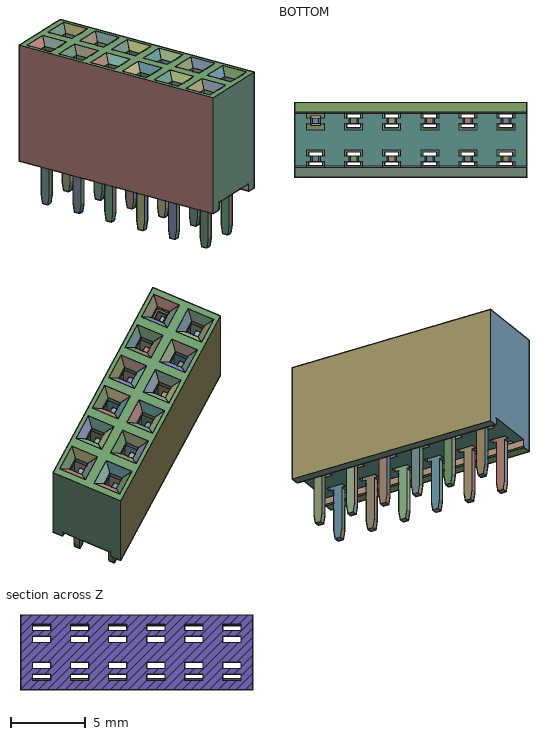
import cadquery as cq

COLUMNS = 6
ROWS = 2
PITCH = 2.54

HOUSING_LENGTH = 15.49
HOUSING_WIDTH = 5.0
HOUSING_HEIGHT = 8.5
RAIL_WIDTH = 0.74
RAIL_HEIGHT = 0.57
RAIL_CHAMFER = 0.08

FUNNEL_SIZE = 1.9
FUNNEL_DEPTH = 0.5
THROAT_SIZE = 0.9
THROAT_DEPTH = 0.4
CHAMBER_SIZE = 1.2

PLATE_HOLE_SIZE = 0.63
PLATE_THICKNESS = 0.1

CONTACT_THICKNESS = 0.4
BLADE_WIDTH = CHAMBER_SIZE
BLADE_DEPTH = 1.0
TAIL_WIDTH = 0.64
TAIL_LENGTH = 3.2
TIP_WIDTH = 0.42
TIP_LENGTH = 0.65

THROAT_TOP = HOUSING_HEIGHT - FUNNEL_DEPTH
CHAMBER_TOP = THROAT_TOP - THROAT_DEPTH
PLATE_TOP = CHAMBER_TOP + PLATE_THICKNESS
BLADE_TOP = CHAMBER_TOP - BLADE_DEPTH


def make_housing():
    """Block with a full-length channel between the two bottom rails."""
    channel_half = HOUSING_WIDTH / 2 - RAIL_WIDTH
    mouth_half = channel_half + RAIL_CHAMFER
    half_width = HOUSING_WIDTH / 2
    outline = [
        (-half_width, 0),
        (-mouth_half, 0),
        (-channel_half, RAIL_CHAMFER),
        (-channel_half, RAIL_HEIGHT),
        (channel_half, RAIL_HEIGHT),
        (channel_half, RAIL_CHAMFER),
        (mouth_half, 0),
        (half_width, 0),
        (half_width, HOUSING_HEIGHT),
        (-half_width, HOUSING_HEIGHT),
    ]
    return cq.Workplane("YZ").polyline(outline).close().extrude(HOUSING_LENGTH / 2, both=True)


def square_prism(size, bottom, top):
    """Upright square bar between two heights."""
    return cq.Workplane("XY").workplane(offset=bottom).rect(size, size).extrude(top - bottom)


def make_funnel():
    """Four-sided lead-in that narrows from the top face to the throat."""
    return (
        cq.Workplane("XY")
        .workplane(offset=THROAT_TOP)
        .rect(THROAT_SIZE, THROAT_SIZE)
        .workplane(offset=FUNNEL_DEPTH)
        .rect(FUNNEL_SIZE, FUNNEL_SIZE)
        .loft(ruled=True)
    )


def make_socket(has_plate):
    """Void of one socket; a plate leaves only a small hole at the foot of the throat."""
    chamber = square_prism(CHAMBER_SIZE, RAIL_HEIGHT, CHAMBER_TOP)
    if has_plate:
        plate_hole = square_prism(PLATE_HOLE_SIZE, CHAMBER_TOP, PLATE_TOP)
        throat = square_prism(THROAT_SIZE, PLATE_TOP, THROAT_TOP).union(plate_hole)
    else:
        throat = square_prism(THROAT_SIZE, CHAMBER_TOP, THROAT_TOP)
    return make_funnel().union(throat).union(chamber)


def make_contact():
    """Flat contact: wide blade inside the housing, narrower tail with a tapered tip."""
    half_blade = BLADE_WIDTH / 2
    half_tail = TAIL_WIDTH / 2
    half_tip = TIP_WIDTH / 2
    tip_start = TIP_LENGTH - TAIL_LENGTH
    outline = [
        (-half_tip, -TAIL_LENGTH),
        (half_tip, -TAIL_LENGTH),
        (half_tail, tip_start),
        (half_tail, RAIL_HEIGHT),
        (half_blade, RAIL_HEIGHT),
        (half_blade, BLADE_TOP),
        (-half_blade, BLADE_TOP),
        (-half_blade, RAIL_HEIGHT),
        (-half_tail, RAIL_HEIGHT),
        (-half_tail, tip_start),
    ]
    return cq.Workplane("XZ").polyline(outline).close().extrude(CONTACT_THICKNESS / 2, both=True)


def build_connector():
    body = make_housing()
    contact = make_contact()
    for column in range(COLUMNS):
        for row in range(ROWS):
            is_first = column == 0 and row == 0
            x = (column - (COLUMNS - 1) / 2) * PITCH
            y = (row - (ROWS - 1) / 2) * PITCH
            body = body.cut(make_socket(has_plate=is_first).translate((x, y, 0)))
            body = body.union(contact.translate((x, y, 0)))
    return body


result = build_connector()